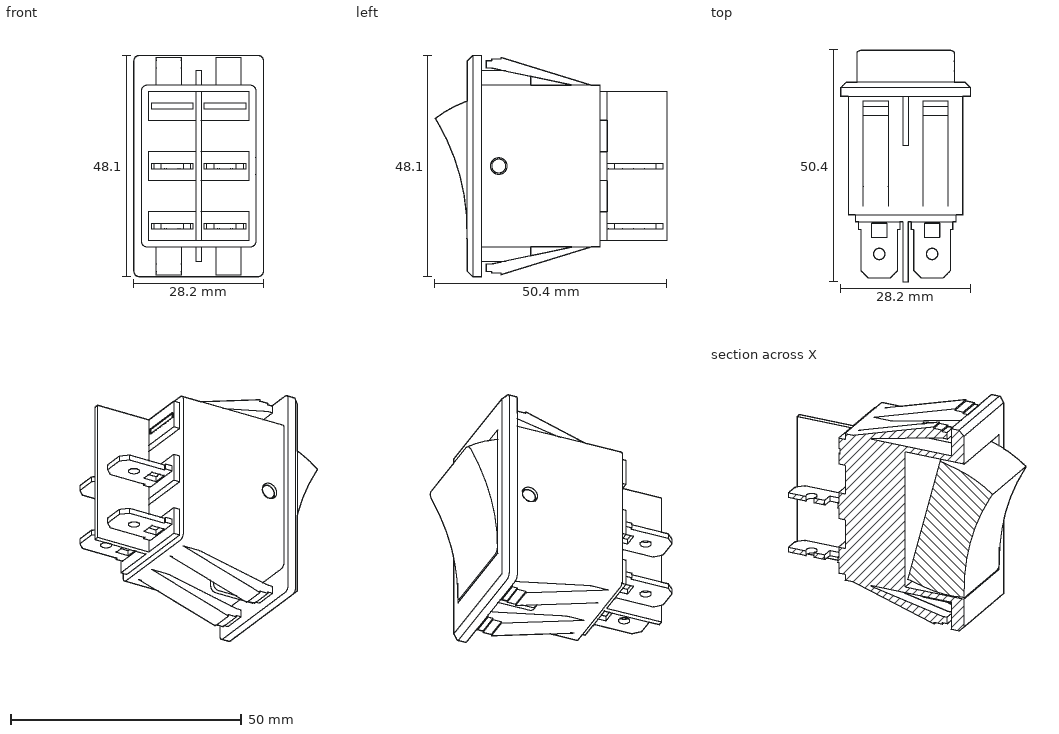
import cadquery as cq


FLANGE_WIDTH = 28.2
FLANGE_HEIGHT = 48.1
FLANGE_THICKNESS = 3.1
FLANGE_CORNER_RADIUS = 1.25
FLANGE_BEVEL = 1.2

CASE_WIDTH = 24.9
CASE_HEIGHT = 35.15
CASE_DEPTH = 25.75
CASE_CORNER_RADIUS = 1.25
SHEET = 1.2

FIN_TIP_Z = 20.75
FIN_LENGTH = 10.7
FIN_CORNER_RADIUS = 1.3

CLIP_WIDTH = 5.5
CLIP_X = 6.5
CLIP_END_Y = -0.95
CLIP_FIRST_STEP_Y = -2.15
CLIP_SECOND_STEP_Y = -4.2
CLIP_OUTER_ROOT_Y = -23.85
CLIP_INNER_ROOT_Y = -19.6
CLIP_LIP_Z = 22.95
CLIP_LAND_Z = 23.3
CLIP_PEAK_Z = 23.65
CLIP_INNER_Z = 21.25

BOSS_WIDTH = 21.85
BOSS_HEIGHT = 6.3
BOSS_DEPTH = 1.5
ROW_PITCH = 13.05
DIVIDER_LENGTH = 13.05
BOSS_FACE_Y = -CASE_DEPTH - BOSS_DEPTH
BLANK_SLOT_DEPTH = 0.25

POLE_X = 5.75
SHOULDER_WIDTH = 9.05
SHOULDER_LENGTH = 1.65
BLADE_WIDTH = 8.0
BLADE_LENGTH = 12.2
BLADE_TIP_CHAMFER = 1.6
WINDOW_WIDTH = 3.3
WINDOW_LENGTH = 3.05
WINDOW_OFFSET = 0.3
BLADE_HOLE_DIAMETER = 2.4
BLADE_HOLE_OFFSET = 6.95

PIVOT_Y = -3.75
PIVOT_DIAMETER = 3.65
PIVOT_RECESS = 0.6
PIVOT_CHAMFER = 0.3
ROCKER_TILT = 14.7
ROCKER_WIDTH = 21.2
ROCKER_EDGE_RADIUS = 1.25
ROCKER_TIP_RISE = 10.75
ROCKER_TIP_HALF_LENGTH = 13.5
ROCKER_FACE_RADIUS = 46.35
ROCKER_END_RADIUS = 24.7
ROCKER_CROWN_RISE = 1.0
ROCKER_BASE_DROP = 3.0

WELL_HEIGHT = 32.25
WELL_BOTTOM_Y = -11.1


def arc_sag(radius, run):
    """Distance by which an arc leaves its tangent after the given run along the tangent."""
    return radius - (radius**2 - run**2) ** 0.5


def block(width, height, front_y, back_y):
    """Box centred on X = Z = 0 between two Y planes, front_y being the larger."""
    return cq.Workplane("XZ", origin=(0, front_y, 0)).rect(width, height).extrude(front_y - back_y)


def make_flange():
    flange = block(FLANGE_WIDTH, FLANGE_HEIGHT, FLANGE_THICKNESS, 0)
    flange = flange.edges("|Y").fillet(FLANGE_CORNER_RADIUS)
    return flange.faces(">Y").edges().chamfer(FLANGE_BEVEL)


def make_case():
    return block(CASE_WIDTH, CASE_HEIGHT, 0, -CASE_DEPTH).edges("|Y").fillet(CASE_CORNER_RADIUS)


def make_fins():
    """One plate through the case, whose two ends form the fins."""
    fins = block(SHEET, 2 * FIN_TIP_Z, 0, -FIN_LENGTH)
    return fins.faces("<Y").edges("|X").fillet(FIN_CORNER_RADIUS)


def make_clip(x):
    """Upper snap-in clip centred on the given X, sloping down into the top of the case."""
    case_top = CASE_HEIGHT / 2
    profile = [
        (CLIP_END_Y, CLIP_INNER_Z),
        (CLIP_END_Y, CLIP_LIP_Z),
        (CLIP_FIRST_STEP_Y, CLIP_LIP_Z),
        (CLIP_FIRST_STEP_Y, CLIP_LAND_Z),
        (CLIP_SECOND_STEP_Y, CLIP_LAND_Z),
        (CLIP_SECOND_STEP_Y, CLIP_PEAK_Z),
        (CLIP_OUTER_ROOT_Y, case_top),
        (CLIP_INNER_ROOT_Y, case_top),
        (CLIP_FIRST_STEP_Y, CLIP_INNER_Z),
    ]
    plane = cq.Workplane("YZ", origin=(x, 0, 0))
    return plane.polyline(profile).close().extrude(CLIP_WIDTH / 2, both=True)


def make_terminal(x, z):
    """Blade with shoulders, a square window and a round hole, pointing to -Y from a boss face."""
    plane = cq.Workplane("XY", origin=(x, BOSS_FACE_Y, z))

    def plate(width, length):
        return plane.center(0, -length / 2).rect(width, length).extrude(SHEET / 2, both=True)

    blade = plate(BLADE_WIDTH, BLADE_LENGTH)
    blade = blade.faces("<Y").edges("|Z").chamfer(BLADE_TIP_CHAMFER)
    window_y = -WINDOW_OFFSET - WINDOW_LENGTH / 2
    window = plane.center(0, window_y).rect(WINDOW_WIDTH, WINDOW_LENGTH).extrude(SHEET, both=True)
    hole = plane.center(0, -BLADE_HOLE_OFFSET).circle(BLADE_HOLE_DIAMETER / 2).extrude(SHEET, both=True)
    return blade.union(plate(SHOULDER_WIDTH, SHOULDER_LENGTH)).cut(window).cut(hole)


def make_housing():
    housing = make_flange().union(make_case()).union(make_fins())

    for x in (-CLIP_X, CLIP_X):
        upper_clip = make_clip(x)
        housing = housing.union(upper_clip).union(upper_clip.mirror("XY"))

    boss = block(BOSS_WIDTH, BOSS_HEIGHT, -CASE_DEPTH, BOSS_FACE_Y)
    for z in (-ROW_PITCH, 0, ROW_PITCH):
        housing = housing.union(boss.translate((0, 0, z)))

    divider_height = 2 * ROW_PITCH + BOSS_HEIGHT
    divider = block(SHEET, divider_height, BOSS_FACE_Y, BOSS_FACE_Y - DIVIDER_LENGTH)
    housing = housing.union(divider)

    blank_slot = block(SHOULDER_WIDTH, SHEET, BOSS_FACE_Y + BLANK_SLOT_DEPTH, BOSS_FACE_Y)
    for x in (-POLE_X, POLE_X):
        for z in (-ROW_PITCH, 0):
            housing = housing.union(make_terminal(x, z))
        housing = housing.cut(blank_slot.translate((x, 0, ROW_PITCH)))

    well = block(ROCKER_WIDTH, WELL_HEIGHT, FLANGE_THICKNESS, WELL_BOTTOM_Y)
    pivot_plane = cq.Workplane("YZ", origin=(0, PIVOT_Y, 0))
    pivot_hole = pivot_plane.circle(PIVOT_DIAMETER / 2).extrude(CASE_WIDTH / 2, both=True)
    return housing.cut(well).cut(pivot_hole)


def make_rocker():
    """Rocker with a concave face, bulging ends and a pivot pin on each side."""
    tip_z = ROCKER_TIP_HALF_LENGTH
    tip_rise = ROCKER_TIP_RISE
    face_middle = tip_rise - arc_sag(ROCKER_FACE_RADIUS, tip_z)
    end_run = tip_rise - ROCKER_CROWN_RISE
    crown_z = tip_z + arc_sag(ROCKER_END_RADIUS, end_run)
    half_run = end_run / 2
    end_middle_z = crown_z - arc_sag(ROCKER_END_RADIUS, half_run)
    end_middle_rise = ROCKER_CROWN_RISE + half_run

    rocker = (
        cq.Workplane("YZ")
        .moveTo(tip_rise, -tip_z)
        .threePointArc((face_middle, 0), (tip_rise, tip_z))
        .threePointArc((end_middle_rise, end_middle_z), (ROCKER_CROWN_RISE, crown_z))
        .lineTo(-ROCKER_BASE_DROP, crown_z)
        .lineTo(-ROCKER_BASE_DROP, -crown_z)
        .lineTo(ROCKER_CROWN_RISE, -crown_z)
        .threePointArc((end_middle_rise, -end_middle_z), (tip_rise, -tip_z))
        .close()
        .extrude(ROCKER_WIDTH / 2, both=True)
    )
    for side in ("<X", ">X"):
        for end in ("<Z", ">Z"):
            rocker = rocker.faces(side).edges(end).fillet(ROCKER_EDGE_RADIUS)

    pin_half_length = CASE_WIDTH / 2 - PIVOT_RECESS
    pin = cq.Workplane("YZ").circle(PIVOT_DIAMETER / 2).extrude(pin_half_length, both=True)
    pin = pin.faces("<X or >X").chamfer(PIVOT_CHAMFER)

    rocker = rocker.union(pin).rotate((0, 0, 0), (1, 0, 0), -ROCKER_TILT)
    return rocker.translate((0, PIVOT_Y, 0))


housing = make_housing()
rocker = make_rocker()
result = cq.Compound.makeCompound([housing.solids().val(), rocker.solids().val()])